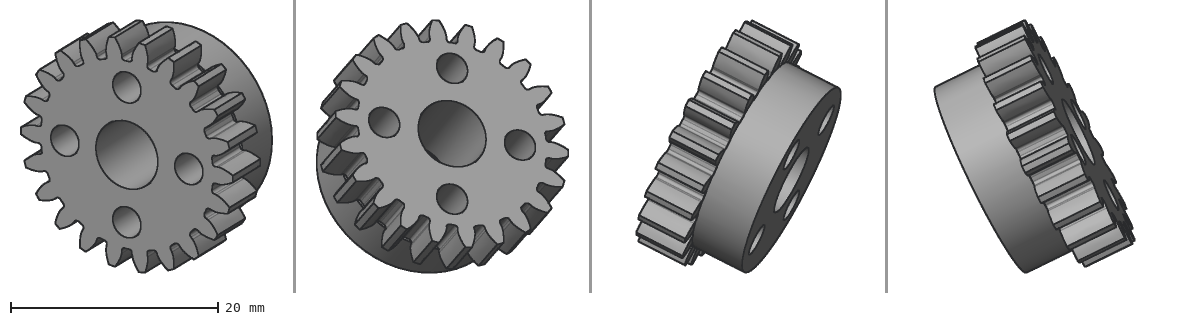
import cadquery as cq
import math

outer_diameter = 24.0
tooth_count = 22
pressure_angle = math.radians(20)
addendum_factor = 1.0
dedendum_factor = 1.25
root_fillet = 0.34
gear_thickness = 5.1

module = outer_diameter / (tooth_count + 2 * addendum_factor)
tip_radius = outer_diameter / 2
pitch_radius = module * tooth_count / 2
base_radius = pitch_radius * math.cos(pressure_angle)
root_radius = pitch_radius - dedendum_factor * module
tooth_pitch_angle = 2 * math.pi / tooth_count

hub_diameter = 20.0
hub_length = 5.45
bore_diameter = 7.0
bolt_hole_diameter = 3.2
bolt_circle_radius = 7.0
bolt_hole_count = 4

total_length = gear_thickness + hub_length
flank_points = 7
edge_tolerance = 0.002


def polar(radius, angle):
    return (radius * math.cos(angle), radius * math.sin(angle))


def involute(angle):
    return math.tan(angle) - angle


def half_tooth_angle(radius):
    """Half the angle a tooth spans at a radius between the base circle and the tip."""
    half_angle_at_pitch = tooth_pitch_angle / 4
    local_pressure_angle = math.acos(min(1.0, base_radius / radius))
    return half_angle_at_pitch + involute(pressure_angle) - involute(local_pressure_angle)


def flank(center_angle, side):
    """Involute flank from base circle to tip; side is -1 or +1 about the tooth center."""
    step = (tip_radius - base_radius) / (flank_points - 1)
    radii = [base_radius + i * step for i in range(flank_points)]
    return [polar(r, center_angle + side * half_tooth_angle(r)) for r in radii]


def gear_outline():
    """Closed tooth profile, with radial flanks between the root and base circles."""
    half_base = half_tooth_angle(base_radius)
    outline = cq.Workplane("XZ").moveTo(*polar(root_radius, -half_base))
    for tooth in range(tooth_count):
        center = tooth * tooth_pitch_angle
        rising = flank(center, -1)
        falling = flank(center, 1)[::-1]
        next_gap = center + tooth_pitch_angle / 2
        next_tooth = center + tooth_pitch_angle
        outline = (
            outline.lineTo(*rising[0])
            .spline(rising[1:], includeCurrent=True)
            .threePointArc(polar(tip_radius, center), falling[0])
            .spline(falling[1:], includeCurrent=True)
            .lineTo(*polar(root_radius, center + half_base))
            .threePointArc(polar(root_radius, next_gap), polar(root_radius, next_tooth - half_base))
        )
    return outline.close()


def on_root_circle(edge):
    middle = edge.Center()
    return math.hypot(middle.x, middle.z) < root_radius + edge_tolerance


def gear():
    """Toothed disc from Y = 0 to the hub, with rounded tooth roots."""
    disc = gear_outline().extrude(-gear_thickness)
    root_edges = [edge for edge in disc.edges("|Y").vals() if on_root_circle(edge)]
    return disc.newObject(root_edges).fillet(root_fillet)


def hub():
    return (
        cq.Workplane("XZ", origin=(0, gear_thickness, 0))
        .circle(hub_diameter / 2)
        .extrude(-hub_length)
    )


def through_holes():
    """Center bore and bolt holes, over the full length of the part."""
    bore = cq.Workplane("XZ").circle(bore_diameter / 2).extrude(-total_length)
    bolt_holes = (
        cq.Workplane("XZ")
        .polarArray(bolt_circle_radius, 0, 360, bolt_hole_count)
        .circle(bolt_hole_diameter / 2)
        .extrude(-total_length)
    )
    return bore.union(bolt_holes)


result = gear().union(hub()).cut(through_holes())